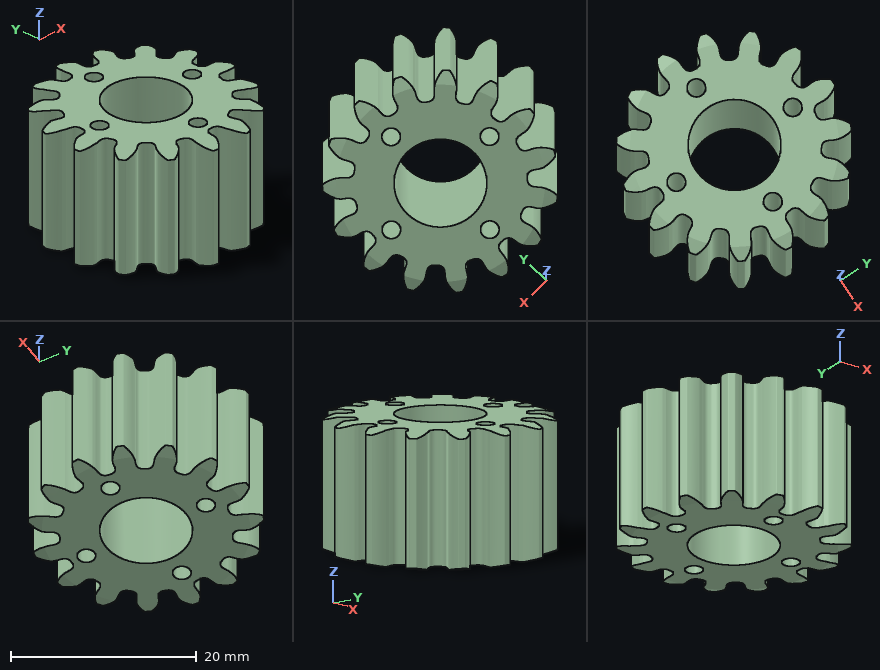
import cadquery as cq
import math

module = 1.5
teeth = 15
face_width = 15.0

addendum = module
dedendum = 1.25 * module
pitch_radius = module * teeth / 2
tip_radius = pitch_radius + addendum
root_radius = pitch_radius - dedendum
tooth_angle = 360 / teeth

tip_half_thickness = 0.38
pitch_half_thickness = 1.175
shoulder_radius = 10.78
shoulder_half_thickness = 1.213
waist_radius = 10.3
waist_half_thickness = 1.17
foot_half_thickness = 1.22
face_arc_radius = 3.9

tip_fillet = 0.1 * module
root_fillet = 0.5 * module

chamfer_angle = math.radians(15)

bore_diameter = 10.0
pin_hole_diameter = 2.0
pin_circle_radius = 7.5
pin_hole_count = 4


def flank_point(radius, half_thickness, side):
    """Point on a flank of the tooth on +Y; side is -1 for left and +1 for right."""
    return (side * half_thickness, math.sqrt(radius**2 - half_thickness**2))


def face_arc_middle(start, end, side):
    """Middle of the convex arc of radius face_arc_radius between two flank points."""
    chord_x = end[0] - start[0]
    chord_y = end[1] - start[1]
    chord = math.hypot(chord_x, chord_y)
    sagitta = face_arc_radius - math.sqrt(face_arc_radius**2 - (chord / 2) ** 2)
    outward_x = side * abs(chord_y) / chord
    outward_y = abs(chord_x) / chord
    return (
        (start[0] + end[0]) / 2 + sagitta * outward_x,
        (start[1] + end[1]) / 2 + sagitta * outward_y,
    )


def make_tooth():
    """Tooth with convex faces above the pitch circle and a slight waist below it."""
    foot_l, foot_r = [flank_point(root_radius, foot_half_thickness, s) for s in (-1, 1)]
    waist_l, waist_r = [flank_point(waist_radius, waist_half_thickness, s) for s in (-1, 1)]
    shoulder_l, shoulder_r = [flank_point(shoulder_radius, shoulder_half_thickness, s) for s in (-1, 1)]
    pitch_l, pitch_r = [flank_point(pitch_radius, pitch_half_thickness, s) for s in (-1, 1)]
    tip_l, tip_r = [flank_point(tip_radius, tip_half_thickness, s) for s in (-1, 1)]
    return (
        cq.Workplane("XY")
        .moveTo(0, 0)
        .lineTo(*foot_l)
        .threePointArc(waist_l, shoulder_l)
        .lineTo(*pitch_l)
        .threePointArc(face_arc_middle(pitch_l, tip_l, -1), tip_l)
        .threePointArc((0, tip_radius), tip_r)
        .threePointArc(face_arc_middle(tip_r, pitch_r, 1), pitch_r)
        .lineTo(*shoulder_r)
        .threePointArc(waist_r, foot_r)
        .close()
        .extrude(face_width)
    )


def upright_edges_at(body, radius):
    """Edges parallel to the axis that lie at the given radius."""
    tolerance = 0.01
    return [
        edge
        for edge in body.edges("|Z").vals()
        if abs(math.hypot(edge.Center().x, edge.Center().y) - radius) < tolerance
    ]


def make_gear():
    """Root cylinder with all teeth, rounded at the tooth roots and tips."""
    gear = cq.Workplane("XY").circle(root_radius).extrude(face_width)
    tooth = make_tooth()
    for i in range(teeth):
        gear = gear.union(tooth.rotate((0, 0, 0), (0, 0, 1), tooth_angle * i))
    gear = gear.newObject(upright_edges_at(gear, root_radius)).fillet(root_fillet)
    return gear.newObject(upright_edges_at(gear, tip_radius)).fillet(tip_fillet)


def make_chamfer_envelope():
    """Turned blank that bounds the tooth ends with a shallow cone at each face."""
    outer = tip_radius + addendum
    drop = (outer - pitch_radius) * math.tan(chamfer_angle)
    return (
        cq.Workplane("XZ")
        .moveTo(0, 0)
        .lineTo(pitch_radius, 0)
        .lineTo(outer, drop)
        .lineTo(outer, face_width - drop)
        .lineTo(pitch_radius, face_width)
        .lineTo(0, face_width)
        .close()
        .revolve(360, (0, 0, 0), (0, 1, 0))
    )


def make_holes():
    """Centre bore and the ring of pin holes, all through."""
    bore = cq.Workplane("XY").circle(bore_diameter / 2).extrude(face_width)
    pins = (
        cq.Workplane("XY")
        .polarArray(pin_circle_radius, 0, 360, pin_hole_count)
        .circle(pin_hole_diameter / 2)
        .extrude(face_width)
    )
    return bore.union(pins)


result = make_gear().intersect(make_chamfer_envelope()).cut(make_holes())